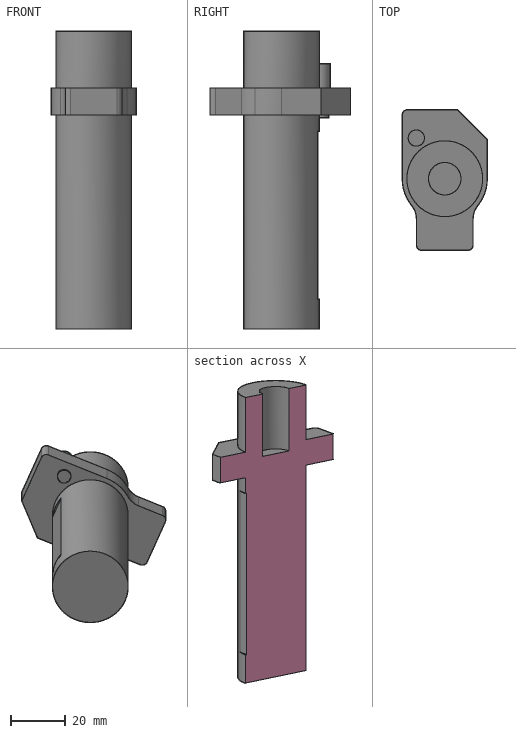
import math

import cadquery as cq

shaft_diameter = 28.0
shaft_length = 110.0
bore_diameter = 12.0
bore_depth = 24.0

flat_depth = 0.6
flat_bottom = 11.0
flat_top = 73.0

plate_width = 31.5
plate_length = 52.0
plate_thickness = 10.0
plate_bottom = 79.0
plate_back = 25.5
plate_front = plate_back - plate_length
plate_chamfer = 11.0
corner_radius = 2.0
tab_width = 21.0
neck_radius = 8.0

pin_diameter = 6.0
pin_height = 9.0
tail_diameter = 5.0
tail_length = 1.0
pin_x = -tab_width / 2
pin_y = 15.0


def make_cylinder(diameter, bottom, height, x=0.0, y=0.0):
    """Vertical cylinder centred at (x, y)."""
    return cq.Workplane("XY", origin=(x, y, bottom)).circle(diameter / 2).extrude(height)


def make_plate():
    """Plate whose sides curve around the shaft and narrow to a front tab."""
    half_plate = plate_width / 2
    half_tab = tab_width / 2

    neck_x = half_tab + neck_radius
    centre_distance = half_plate + neck_radius
    neck_y = -math.sqrt(centre_distance**2 - neck_x**2)
    join_x = neck_x * half_plate / centre_distance
    join_y = neck_y * half_plate / centre_distance
    join_angle = math.atan2(-join_y, join_x)
    body_mid_x = half_plate * math.cos(join_angle / 2)
    body_mid_y = -half_plate * math.sin(join_angle / 2)
    neck_mid_x = neck_x - neck_radius * math.cos(join_angle / 2)
    neck_mid_y = neck_y + neck_radius * math.sin(join_angle / 2)

    plate = (
        cq.Workplane("XY", origin=(0, 0, plate_bottom))
        .moveTo(-half_plate, plate_back)
        .lineTo(half_plate - plate_chamfer, plate_back)
        .lineTo(half_plate, plate_back - plate_chamfer)
        .lineTo(half_plate, 0)
        .threePointArc((body_mid_x, body_mid_y), (join_x, join_y))
        .threePointArc((neck_mid_x, neck_mid_y), (half_tab, neck_y))
        .lineTo(half_tab, plate_front)
        .lineTo(-half_tab, plate_front)
        .lineTo(-half_tab, neck_y)
        .threePointArc((-neck_mid_x, neck_mid_y), (-join_x, join_y))
        .threePointArc((-body_mid_x, body_mid_y), (-half_plate, 0))
        .close()
        .extrude(plate_thickness)
    )
    plate = plate.edges("|Z").edges("<Y").fillet(corner_radius)
    back_left_corner = cq.selectors.NearestToPointSelector(
        (-half_plate, plate_back, plate_bottom + plate_thickness / 2)
    )
    return plate.edges("|Z").edges(back_left_corner).fillet(corner_radius)


def make_shaft():
    """Round bar with a shallow flat at the back."""
    flat_cutter = (
        cq.Workplane("XY", origin=(0, shaft_diameter / 2 - flat_depth, flat_bottom))
        .box(shaft_diameter, shaft_diameter, flat_top - flat_bottom, centered=(True, False, False))
    )
    return make_cylinder(shaft_diameter, 0, shaft_length).cut(flat_cutter)


def make_bore():
    """Blind bore sunk into the top of the shaft."""
    return make_cylinder(bore_diameter, shaft_length - bore_depth, bore_depth)


def make_pin():
    """Pin standing on the plate, plus its tail through the plate."""
    plate_top = plate_bottom + plate_thickness
    head = make_cylinder(pin_diameter, plate_top, pin_height, pin_x, pin_y)
    tail = make_cylinder(
        tail_diameter, plate_bottom - tail_length, plate_thickness + tail_length, pin_x, pin_y
    )
    return head.union(tail)


result = make_shaft().union(make_plate()).union(make_pin()).cut(make_bore())